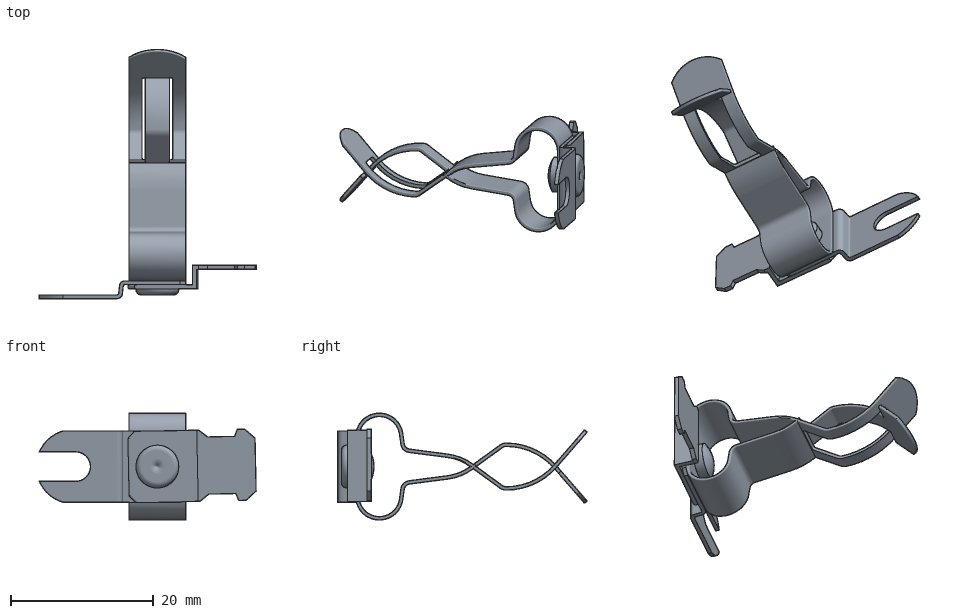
import cadquery as cq
import math


clip_thickness = 0.5
clip_width = 8.0
clip_edge_round = 0.12
loop_radius = 3.08
clip_half_height = 7.5
loop_wrap = 172.0
throat_bend_radius = 1.126
throat_wall_length = 1.44
arm_slope = 7.4
pinch_slope = 36.0
tip_slope = 49.0
arm_length = 5.385
pinch_bend_radius = 7.28
jaw_entry_length = 5.155
jaw_bend_radius = 1.17
jaw_radius = 9.17
tip_length = 6.505
tip_round_rise = 1.7
pinch_crossing_y = 17.04
tip_crossing_y = 28.52
window_start_y = 17.35
window_end_y = 29.19
window_width = 4.3
window_corner_radius = 0.35
tongue_width = 3.4

fork_thickness = 0.55
fork_width = 10.0
fork_length_left = 16.55
fork_prong_end_radius = 5.22
fork_slot_width = 4.1
fork_slot_center_x = -11.44
fork_arm_end_x = -5.66
fork_arm_face_y = -1.97
fork_bend_radius = 0.5
fork_riser_angle = 83.7
fork_right_x = 4.0
fork_corner_chamfer = 0.8

tab_thickness = 0.6
tab_width = 10.0
tab_turn = 1.2
tab_left_x = -4.05
tab_corner_chamfer = 0.95
tab_edge_round = 0.25
tab_riser_x = 5.62
tab_rear_face_y = 2.75
tab_shoulder_x = 5.9
tab_neck_start_x = 7.1
tab_neck_end_x = 10.9
tab_neck_width = 8.05
tab_head_start_x = 11.3
tab_head_chamfer_x = 12.33
tab_end_x = 13.78
tab_end_width = 7.4

shank_radius = 2.45
shank_end_y = 2.43
dome_height = 0.72
head_radius = 3.0
head_height = 0.85
head_edge_radius = 0.75
dimple_radius = 1.03
dimple_depth = 0.6


def bent_path(plane, start, heading, steps):
    """A smooth path in a plane: each step is (length,) or (bend radius, turn in degrees)."""
    path = cq.Workplane(plane).moveTo(*start)
    x, y = start
    for step in steps:
        if len(step) == 1:
            x += step[0] * math.cos(math.radians(heading))
            y += step[0] * math.sin(math.radians(heading))
            path = path.lineTo(x, y)
        else:
            radius, turn = step
            chord = 2 * radius * math.sin(math.radians(abs(turn)) / 2)
            half_way = heading + turn / 2
            quarter_chord = 2 * radius * math.sin(math.radians(abs(turn)) / 4)
            quarter_way = heading + turn / 4
            middle = (
                x + quarter_chord * math.cos(math.radians(quarter_way)),
                y + quarter_chord * math.sin(math.radians(quarter_way)),
            )
            x += chord * math.cos(math.radians(half_way))
            y += chord * math.sin(math.radians(half_way))
            path = path.threePointArc(middle, (x, y))
            heading += turn
    return path


def rivet_hole():
    return cq.Workplane("XZ").circle(shank_radius).extrude(shank_end_y, both=True)


def slab(profile_xy, height):
    """Extrude an XY profile evenly to both sides of Z = 0."""
    return profile_xy.extrude(height / 2, both=True)


clip_base_y = fork_thickness + clip_thickness / 2


def clip_arm_strip(width):
    """One arm of the clip at a given width, from the middle of the base to the tip."""
    steps = [
        (clip_half_height - clip_thickness / 2 - loop_radius,),
        (loop_radius, -loop_wrap),
        (throat_wall_length,),
        (throat_bend_radius, loop_wrap - 90 - arm_slope),
        (arm_length,),
        (pinch_bend_radius, arm_slope - pinch_slope),
        (jaw_entry_length,),
        (jaw_bend_radius, pinch_slope),
        (jaw_radius, tip_slope),
        (tip_length,),
    ]
    path = bent_path("YZ", (clip_base_y, 0), 90, steps)
    section = cq.Workplane("XY", origin=(0, clip_base_y, 0)).sketch()
    section = section.rect(width, clip_thickness).vertices().fillet(clip_edge_round).finalize()
    return section.sweep(path)


def window_zone(width):
    """Block over the window stretch, with its ends square to the sloping strip."""
    reach = clip_half_height
    pinch = math.radians(pinch_slope)
    tip = math.radians(tip_slope)
    start_z = (pinch_crossing_y - window_start_y) * math.tan(pinch)
    end_z = (window_end_y - tip_crossing_y) * math.tan(tip)

    def start_at(z):
        return (window_start_y + (z - start_z) * math.tan(pinch), z)

    def end_at(z):
        return (window_end_y - (z - end_z) * math.tan(tip), z)

    corners = [start_at(-reach), end_at(-reach), end_at(reach / 2), start_at(reach / 2)]
    profile = cq.Workplane("YZ").polyline(corners)
    return profile.close().extrude(width / 2, both=True)


def rounded_tip(strip):
    """Round the free end of a full-width arm with one arc, cut square to the tip blade."""
    tip = strip.faces(">Y").val().Center()
    slope = math.radians(tip_slope)
    normal = cq.Vector(0, -math.sin(slope), math.cos(slope))
    half = clip_width / 2
    blade = cq.Workplane(cq.Plane(origin=tip, xDir=(1, 0, 0), normal=normal))
    corners = (
        blade.moveTo(-half, -tip_round_rise)
        .threePointArc((0, 0), (half, -tip_round_rise))
        .lineTo(half, tip_round_rise)
        .lineTo(-half, tip_round_rise)
        .close()
        .extrude(2 * clip_thickness, both=True)
    )
    strip = strip.cut(corners)
    return strip.faces(">Y").edges().fillet(clip_edge_round)


def window_arm(strip):
    """The arm with a window that the tongue passes through."""
    window = window_zone(window_width)
    return strip.cut(window.edges("not(|X or |Y)").fillet(window_corner_radius))


def tongue_arm(strip):
    """The arm that narrows to a tongue between its root and its tip blade."""
    narrow_zone = window_zone(2 * clip_width)
    tongue = clip_arm_strip(tongue_width).intersect(narrow_zone)
    return strip.cut(narrow_zone).union(tongue)


arm_strip = rounded_tip(clip_arm_strip(clip_width))
lower_arm = tongue_arm(arm_strip).mirror("XY")
clip = window_arm(arm_strip).union(lower_arm).cut(rivet_hole())


def fork_strip():
    """The flat strip with its two bends, at full width."""
    start = (-fork_length_left, fork_arm_face_y + fork_thickness / 2)
    upper_y = fork_thickness / 2
    bend_rise = fork_bend_radius * (1 - math.cos(math.radians(fork_riser_angle)))
    bend_run = fork_bend_radius * math.sin(math.radians(fork_riser_angle))
    riser = (upper_y - start[1] - 2 * bend_rise) / math.sin(math.radians(fork_riser_angle))
    riser_run = riser * math.cos(math.radians(fork_riser_angle))
    upper_start_x = fork_arm_end_x + 2 * bend_run + riser_run
    steps = [
        (fork_arm_end_x + fork_length_left,),
        (fork_bend_radius, fork_riser_angle),
        (riser,),
        (fork_bend_radius, -fork_riser_angle),
        (fork_right_x - upper_start_x,),
    ]
    path = bent_path("XY", start, 0, steps)
    section = cq.Workplane("YZ", origin=(start[0], start[1], 0)).rect(fork_thickness, fork_width)
    return section.sweep(path)


def fork_outline():
    """Front outline: prongs rounded at the left, corners cut at the right, open slot."""
    half = fork_width / 2
    slot_half = fork_slot_width / 2
    end_center_x = -fork_length_left + math.sqrt(fork_prong_end_radius**2 - slot_half**2)
    shoulder_x = end_center_x - math.sqrt(fork_prong_end_radius**2 - half**2)
    chamfer_x = fork_right_x - fork_corner_chamfer
    chamfer_z = half - fork_corner_chamfer
    end_mid_x = end_center_x - fork_prong_end_radius
    outline = (
        cq.Workplane("XZ")
        .moveTo(chamfer_x, -half)
        .lineTo(fork_right_x, -chamfer_z)
        .lineTo(fork_right_x, chamfer_z)
        .lineTo(chamfer_x, half)
        .lineTo(shoulder_x, half)
        .threePointArc((end_mid_x, 0), (shoulder_x, -half))
        .close()
        .extrude(fork_width, both=True)
    )
    slot_length = 2 * (fork_length_left + fork_slot_center_x)
    slot = cq.Workplane("XZ").center(fork_slot_center_x - slot_length / 2, 0)
    slot = slot.slot2D(slot_length + fork_slot_width, fork_slot_width)
    return outline.cut(slot.extrude(fork_width, both=True))


fork = fork_strip().intersect(fork_outline()).cut(rivet_hole())


def tab_strip():
    """The Z-bent plate: front plate, riser and rear plate, at full width."""
    inner_x = tab_riser_x - tab_thickness
    profile = cq.Workplane("XY").polyline([
        (tab_left_x, -tab_thickness),
        (tab_riser_x, -tab_thickness),
        (tab_riser_x, tab_rear_face_y - tab_thickness),
        (tab_end_x, tab_rear_face_y - tab_thickness),
        (tab_end_x, tab_rear_face_y),
        (inner_x, tab_rear_face_y),
        (inner_x, 0),
        (tab_left_x, 0),
    ]).close()
    return slab(profile, tab_width)


def tab_outline():
    """Front outline of the tab, the same above and below its middle line."""
    half = tab_width / 2
    upper = [
        (tab_left_x, half - tab_corner_chamfer),
        (tab_left_x + tab_corner_chamfer, half),
        (tab_shoulder_x, half),
        (tab_neck_start_x, tab_neck_width / 2),
        (tab_neck_end_x, tab_neck_width / 2),
        (tab_head_start_x, half),
        (tab_head_chamfer_x, half),
        (tab_end_x, tab_end_width / 2),
    ]
    lower = [(x, -z) for x, z in reversed(upper)]
    outline = cq.Workplane("XZ").polyline(upper + lower).close()
    return outline.extrude(tab_width, both=True)


tab_end_edges = cq.selectors.BoxSelector(
    (tab_left_x - tab_corner_chamfer, -2 * tab_thickness, -tab_width),
    (tab_left_x + tab_corner_chamfer, tab_thickness, tab_width),
)
tab = tab_strip().intersect(tab_outline())
tab = tab.edges("#Y").edges(tab_end_edges).fillet(tab_edge_round)
tab = tab.rotate((0, 0, 0), (0, 1, 0), -tab_turn).cut(rivet_hole())


def rivet_profile():
    """Half section in X (radius) and Y, turned about the Y axis."""
    head_back_y = -tab_thickness
    head_front_y = head_back_y - head_height
    flat_radius = head_radius - head_edge_radius
    dome_radius = (shank_radius**2 + dome_height**2) / (2 * dome_height)
    dome_half_angle = math.asin(shank_radius / dome_radius) / 2
    dome_top_y = shank_end_y + dome_height
    dome_middle = (
        dome_radius * math.sin(dome_half_angle),
        dome_top_y - dome_radius * (1 - math.cos(dome_half_angle)),
    )
    corner_y = head_front_y + head_edge_radius
    diagonal = head_edge_radius * math.sqrt(0.5)
    dimple_arc_radius = (dimple_radius**2 + dimple_depth**2) / (2 * dimple_depth)
    dimple_half_angle = math.asin(dimple_radius / dimple_arc_radius) / 2
    dimple_middle = (
        dimple_radius - dimple_arc_radius * math.sin(dimple_half_angle),
        head_front_y + dimple_arc_radius * (1 - math.cos(dimple_half_angle)),
    )
    return (
        cq.Workplane("XY")
        .moveTo(0, head_front_y + dimple_depth)
        .threePointArc(dimple_middle, (dimple_radius, head_front_y))
        .lineTo(flat_radius, head_front_y)
        .threePointArc((flat_radius + diagonal, corner_y - diagonal), (head_radius, corner_y))
        .lineTo(head_radius, head_back_y)
        .lineTo(shank_radius, head_back_y)
        .lineTo(shank_radius, shank_end_y)
        .threePointArc(dome_middle, (0, dome_top_y))
        .close()
    )


rivet = rivet_profile().revolve(360, (0, 0, 0), (0, 1, 0))

result = cq.Compound.makeCompound([clip.val(), fork.val(), tab.val(), rivet.val()])